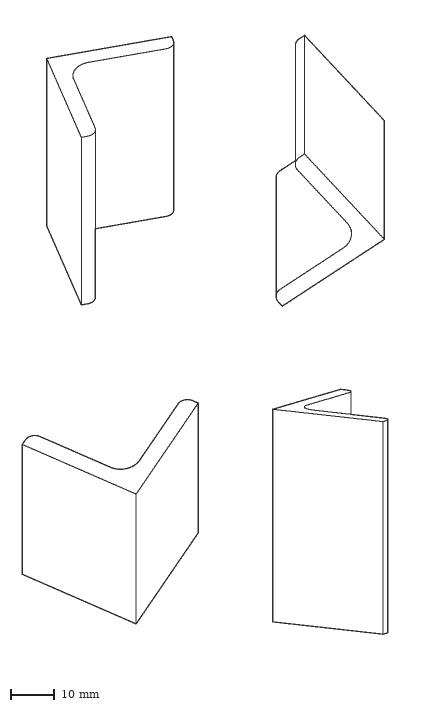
import cadquery as cq

leg_length = 30.0
leg_thickness = 4.0
length = 50.0
root_radius = 5.0
toe_radius = 2.5

section = (
    cq.Workplane("XY")
    .moveTo(0, 0)
    .lineTo(leg_length, 0)
    .lineTo(leg_length, leg_thickness)
    .lineTo(leg_thickness, leg_thickness)
    .lineTo(leg_thickness, leg_length)
    .lineTo(0, leg_length)
    .close()
)
angle = section.extrude(length)


def round_inner_edge(body, x, y, radius):
    """Round the lengthwise edge that passes through (x, y)."""
    edge = cq.selectors.NearestToPointSelector((x, y, length / 2))
    return body.edges("|Z").edges(edge).fillet(radius)


angle = round_inner_edge(angle, leg_thickness, leg_thickness, root_radius)
angle = round_inner_edge(angle, leg_length, leg_thickness, toe_radius)
angle = round_inner_edge(angle, leg_thickness, leg_length, toe_radius)

result = angle